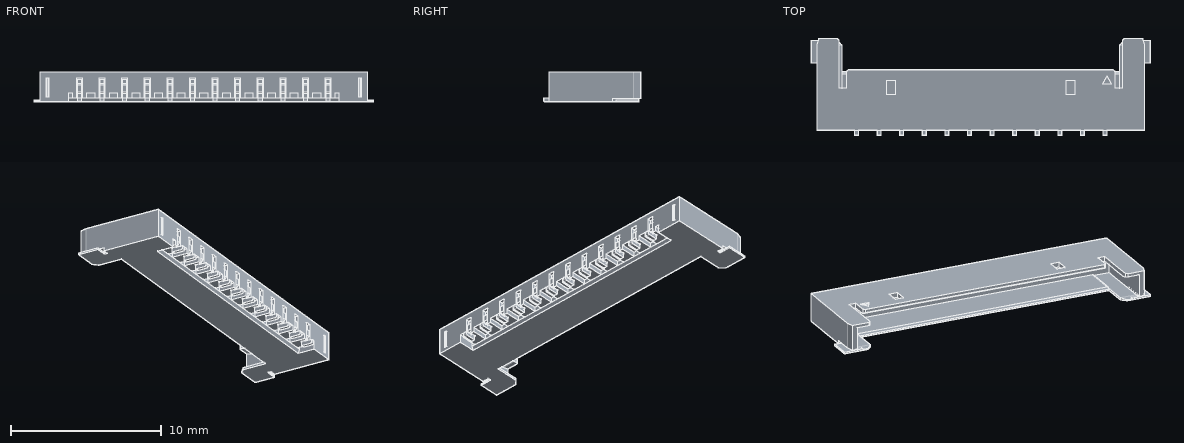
import cadquery as cq


LENGTH = 22.55
DEPTH = 6.45
HEIGHT = 2.0

BODY_LENGTH = 21.78
CONTACT_REACH = 0.34
ARM_FRONT = DEPTH / 2
BODY_BACK = -DEPTH / 2 + CONTACT_REACH
HALF_BODY = BODY_LENGTH / 2
ROOF_FRONT = 1.15
ROOF_HALF = 8.93
NOTCH_WIDTH = 0.47
NOTCH_BACK = -0.1
ARM_INSIDE = ROOF_HALF + NOTCH_WIDTH
ARM_TAPER_X = 0.14
ARM_TAPER_Y = 0.47
ROOF_CORNER = 0.14

ROOF_THICKNESS = 0.34
FLOOR_THICKNESS = 0.23
ARM_FLOOR_THICKNESS = 0.15
END_WALL = 0.52
BACK_WALL = 1.47
FLOOR_FRONT = 1.01
FLOOR_ARM_INSIDE = 9.2
FLOOR_CORNER = 0.47
MIDDLE_LEAD_LENGTH = 0.15
ARM_LEAD_LENGTH = 0.47
LEAD_HEIGHT = 0.11

WINDOW_OFFSET = 5.95
WINDOW_LENGTH = 0.6
WINDOW_FRONT = 0.43
WINDOW_BACK = -0.52
MARK_CENTRE = 8.39
MARK_WIDTH = 0.6
MARK_TIP = 0.72
MARK_BASE = 0.18
MARK_DEPTH = 0.1

CONTACT_COUNT = 12
CONTACT_ROW_LENGTH = 16.5
PITCH = CONTACT_ROW_LENGTH / (CONTACT_COUNT - 1)
CONTACT_WIDTH = 0.27
FOOT_HEIGHT = 0.27
FOOT_TOE_RADIUS = 0.1
SLOT_WIDTH = 0.4
SLOT_DEPTH = 0.45
SLOT_TOP = 1.58
LEG_INSET = 0.05
LEG_STEP = 0.11
LEG_SHOULDER = 1.25
LEG_WAIST = 0.68
CONTACT_TOP = 1.49

RELIEF_HALF = 9.0
RELIEF_HEIGHT = 0.27
RELIEF_DEPTH = 1.13
RELIEF_RUN = 0.11
GAP_WIDTH = 0.55
GAP_TOP = 0.6

TAB_THICKNESS = 0.125
TAB_FRONT = 3.1
TAB_BACK = 1.58
TAB_INSIDE = 9.92
TAB_RECESS_HEIGHT = 0.23
TAB_RECESS_DEPTH = 0.45
TAB_RECESS_BACK = 1.35
END_SLOT_OFFSET = 10.37
END_SLOT_WIDTH = 0.18
END_SLOT_BOTTOM = 0.34
TAB_BLADE_WIDTH = 0.1
TAB_BLADE_INSET = 0.02

SIDES = (-1, 1)
CAVITY_TOP = HEIGHT - ROOF_THICKNESS
SLOT_BACK = BODY_BACK + SLOT_DEPTH
CONTACT_XS = [(i - (CONTACT_COUNT - 1) / 2) * PITCH for i in range(CONTACT_COUNT)]
GAP_XS = [(i - CONTACT_COUNT / 2) * PITCH for i in range(CONTACT_COUNT + 1)]


def block(x_range, y_range, z_range):
    """Box between the two limits on each axis, given in either order."""
    sizes = [abs(b - a) for a, b in (x_range, y_range, z_range)]
    starts = [min(limits) for limits in (x_range, y_range, z_range)]
    return cq.Workplane("XY").box(*sizes, centered=False).translate(tuple(starts))


def centred_block(x, width, y_range, z_range):
    return block((x - width / 2, x + width / 2), y_range, z_range)


def prism_along_x(x_range, points):
    """Extrude a Y-Z outline between two X positions."""
    start, end = min(x_range), max(x_range)
    return cq.Workplane("YZ").polyline(points).close().extrude(end - start).translate((start, 0, 0))


def plan_plate(half_outline, thickness):
    """Plate whose +X half outline, listed from front to back, is mirrored about X = 0."""
    left_half = [(-x, y) for x, y in reversed(half_outline)]
    return cq.Workplane("XY").polyline(half_outline + left_half).close().extrude(thickness)


def lead_in(x_range, front, length, edge_z, outward):
    """Wedge that bevels a cavity face at its mouth; outward is the Z direction into the wall."""
    outline = [(front - length, edge_z), (front, edge_z), (front, edge_z + outward * LEAD_HEIGHT)]
    return prism_along_x(x_range, outline)


def make_roof():
    outline = [
        (ROOF_HALF - ROOF_CORNER, ROOF_FRONT),
        (ROOF_HALF, ROOF_FRONT - ROOF_CORNER),
        (ROOF_HALF, NOTCH_BACK),
        (ARM_INSIDE, NOTCH_BACK),
        (ARM_INSIDE, ARM_FRONT - ROOF_CORNER),
        (ARM_INSIDE + ROOF_CORNER, ARM_FRONT),
        (HALF_BODY - ARM_TAPER_X, ARM_FRONT),
        (HALF_BODY, ARM_FRONT - ARM_TAPER_Y),
        (HALF_BODY, BODY_BACK),
    ]
    roof = plan_plate(outline, ROOF_THICKNESS).translate((0, 0, CAVITY_TOP))
    roof = roof.cut(lead_in((-ROOF_HALF, ROOF_HALF), ROOF_FRONT, MIDDLE_LEAD_LENGTH, CAVITY_TOP, 1))
    for side in SIDES:
        arm_span = (side * ARM_INSIDE, side * (HALF_BODY - END_WALL))
        roof = roof.cut(lead_in(arm_span, ARM_FRONT, ARM_LEAD_LENGTH, CAVITY_TOP, 1))
    return roof


def make_floor():
    """Floor with a slightly lower strip under each arm."""
    middle_span = (-FLOOR_ARM_INSIDE, FLOOR_ARM_INSIDE)
    floor = block(middle_span, (BODY_BACK, FLOOR_FRONT), (0, FLOOR_THICKNESS))
    floor = floor.cut(lead_in(middle_span, FLOOR_FRONT, MIDDLE_LEAD_LENGTH, FLOOR_THICKNESS, -1))
    for side in SIDES:
        inside = side * FLOOR_ARM_INSIDE
        outside = side * (HALF_BODY - END_WALL)
        outline = [
            (inside, BODY_BACK),
            (inside, ARM_FRONT - FLOOR_CORNER),
            (inside + side * FLOOR_CORNER, ARM_FRONT),
            (outside, ARM_FRONT),
            (outside, BODY_BACK),
        ]
        strip = cq.Workplane("XY").polyline(outline).close().extrude(ARM_FLOOR_THICKNESS)
        bevel = lead_in((inside, outside), ARM_FRONT, ARM_LEAD_LENGTH, ARM_FLOOR_THICKNESS, -1)
        floor = floor.union(strip.cut(bevel))
    return floor


def make_end_wall(side):
    outline = [
        (side * (HALF_BODY - END_WALL), ARM_FRONT),
        (side * (HALF_BODY - ARM_TAPER_X), ARM_FRONT),
        (side * HALF_BODY, ARM_FRONT - ARM_TAPER_Y),
        (side * HALF_BODY, BODY_BACK),
        (side * (HALF_BODY - END_WALL), BODY_BACK),
    ]
    return cq.Workplane("XY").polyline(outline).close().extrude(HEIGHT)


def make_shell():
    back_limits = (BODY_BACK, BODY_BACK + BACK_WALL)
    shell = block((-HALF_BODY, HALF_BODY), back_limits, (0, HEIGHT))
    shell = shell.union(make_roof()).union(make_floor())
    for side in SIDES:
        shell = shell.union(make_end_wall(side))
    return shell


def cut_roof_features(body):
    for side in SIDES:
        body = body.cut(centred_block(
            side * WINDOW_OFFSET, WINDOW_LENGTH, (WINDOW_BACK, WINDOW_FRONT), (CAVITY_TOP, HEIGHT)))
    mark_corners = [
        (MARK_CENTRE - MARK_WIDTH / 2, MARK_BASE),
        (MARK_CENTRE + MARK_WIDTH / 2, MARK_BASE),
        (MARK_CENTRE, MARK_TIP),
    ]
    mark = cq.Workplane("XY").workplane(offset=HEIGHT - MARK_DEPTH).polyline(mark_corners).close()
    return body.cut(mark.extrude(MARK_DEPTH))


def cut_back_relief(body):
    """Clear the underside of the back wall and open the gaps between the contact ribs."""
    relief_back = BODY_BACK + RELIEF_DEPTH
    relief = prism_along_x((-RELIEF_HALF, RELIEF_HALF), [
        (BODY_BACK, 0),
        (relief_back + RELIEF_RUN, 0),
        (relief_back, RELIEF_HEIGHT),
        (BODY_BACK, RELIEF_HEIGHT),
    ])
    body = body.cut(relief)
    for x in GAP_XS:
        gap_start = max(x - GAP_WIDTH / 2, -RELIEF_HALF)
        gap_end = min(x + GAP_WIDTH / 2, RELIEF_HALF)
        body = body.cut(block((gap_start, gap_end), (BODY_BACK, relief_back), (0, GAP_TOP)))
    return body


def make_contact(x):
    """Stamped contact: a stepped leg standing in its slot, with a foot reaching out at -Y."""
    leg_front = BODY_BACK + LEG_INSET
    set_back = leg_front + LEG_STEP
    outline = [
        (SLOT_BACK, 0),
        (-DEPTH / 2, 0),
        (-DEPTH / 2, FOOT_HEIGHT),
        (set_back, FOOT_HEIGHT),
        (set_back, LEG_WAIST - LEG_STEP),
        (leg_front, LEG_WAIST),
        (leg_front, LEG_SHOULDER - LEG_STEP),
        (set_back, LEG_SHOULDER),
        (set_back, CONTACT_TOP),
        (SLOT_BACK, CONTACT_TOP),
    ]
    contact = prism_along_x((x - CONTACT_WIDTH / 2, x + CONTACT_WIDTH / 2), outline)
    return contact.faces("<Y").edges("<Z").fillet(FOOT_TOE_RADIUS)


def add_contacts(body):
    for x in CONTACT_XS:
        body = body.cut(centred_block(x, SLOT_WIDTH, (BODY_BACK, SLOT_BACK), (0, SLOT_TOP)))
        body = body.union(make_contact(x))
    return body


def add_solder_tab(body, side):
    """Recess one arm, fit its flat tab and set an upright blade in a slot of the back face."""
    recess_inside = HALF_BODY - TAB_RECESS_DEPTH
    body = body.cut(block(
        (side * recess_inside, side * HALF_BODY), (TAB_RECESS_BACK, ARM_FRONT), (0, TAB_RECESS_HEIGHT)))
    body = body.cut(block(
        (side * FLOOR_ARM_INSIDE, side * HALF_BODY), (TAB_FRONT, ARM_FRONT), (0, TAB_RECESS_HEIGHT)))
    body = body.union(block(
        (side * TAB_INSIDE, side * LENGTH / 2), (TAB_BACK, TAB_FRONT), (0, TAB_THICKNESS)))
    slot_x = side * END_SLOT_OFFSET
    slot_z = (END_SLOT_BOTTOM, SLOT_TOP)
    body = body.cut(centred_block(slot_x, END_SLOT_WIDTH, (BODY_BACK, SLOT_BACK), slot_z))
    return body.union(centred_block(
        slot_x, TAB_BLADE_WIDTH, (BODY_BACK + TAB_BLADE_INSET, SLOT_BACK), slot_z))


housing = cut_back_relief(cut_roof_features(make_shell()))
result = add_contacts(housing)
for tab_side in SIDES:
    result = add_solder_tab(result, tab_side)